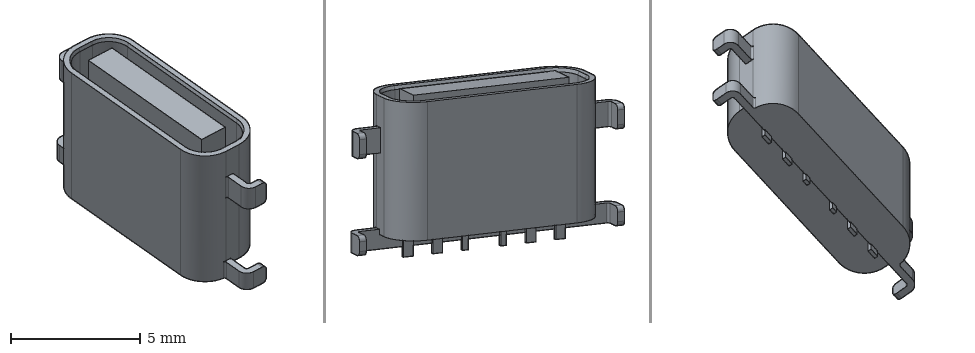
import cadquery as cq
import math

shell_width = 8.95
shell_depth = 3.16
shell_height = 6.1
shell_corner_radius = 1.25
wall = 0.3

mouth_flare = 0.06
mouth_flare_height = 0.15

cavity_depth = 4.45
tongue_width = 6.69
tongue_depth = 1.21
tongue_rise = 0.06

lug_span = 11.4
lug_thickness = 0.3
lug_bend_outer_radius = 0.4
lug_bend_inner_radius = lug_bend_outer_radius - lug_thickness
lug_root_radius = 0.09
lug_tip_radius = 0.2
lug_tip_y = 0.67
upper_lug_front_y = -0.27
upper_lug_height = 1.0
upper_lug_drop = 1.24
lower_lug_front_y = -0.39
lower_lug_height = 0.8

step_height = 0.59
step_front_y = lower_lug_front_y + lug_thickness

pins = [(3.27, 0.41), (2.01, 0.41), (0.82, 0.24)]
pin_length = 0.4
pin_thickness = 0.15
pin_y = -0.06


def block(x, y, width, depth, bottom, top):
    """Plain upright block centred on (x, y)."""
    return cq.Workplane("XY", origin=(x, y, bottom)).rect(width, depth).extrude(top - bottom)


def rounded_block(inset, bottom, top, taper=0):
    """Upright block whose base is the shell outline moved inwards by `inset`."""
    outline = (
        cq.Sketch()
        .rect(shell_width - 2 * inset, shell_depth - 2 * inset)
        .vertices()
        .fillet(shell_corner_radius - inset)
    )
    return cq.Workplane("XY", origin=(0, 0, bottom)).placeSketch(outline).extrude(top - bottom, taper=taper)


def make_shell():
    """Shell with its cavity, flared mouth and rear step."""
    flare_angle = math.degrees(math.atan(mouth_flare / mouth_flare_height))
    cavity = rounded_block(wall, shell_height - cavity_depth, shell_height)
    mouth = rounded_block(wall, shell_height - mouth_flare_height, shell_height, taper=-flare_angle)
    step_y = (step_front_y + shell_depth / 2) / 2
    step = block(0, step_y, shell_width, shell_depth / 2 - step_front_y, 0, step_height)
    return rounded_block(0, 0, shell_height).cut(cavity).cut(mouth).cut(step)


def make_tongue():
    """Contact tongue from the cavity floor to just above the rim."""
    floor = shell_height - cavity_depth
    return block(0, 0, tongue_width, tongue_depth, floor - wall, shell_height + tongue_rise)


def wall_x(y):
    """X of the outer face of the left shell wall at a given y."""
    past_flat = max(0, abs(y) - (shell_depth / 2 - shell_corner_radius))
    return -shell_width / 2 + shell_corner_radius - math.sqrt(shell_corner_radius**2 - past_flat**2)


def make_left_lug(front_y, bottom, height):
    """Arm flared into the shell wall at its front, then a bend and a rounded tip."""
    outer_x = -lug_span / 2
    inner_x = outer_x + lug_thickness
    back_y = front_y + lug_thickness
    root_y = front_y - lug_root_radius
    root_x = wall_x(root_y)
    embedded_x = -shell_width / 2 + wall
    root_mid = lug_root_radius * (1 - math.sqrt(0.5))
    strip = (
        cq.Workplane("XY", origin=(0, 0, bottom))
        .moveTo(embedded_x, root_y)
        .lineTo(root_x, root_y)
        .threePointArc((root_x - root_mid, front_y - root_mid), (root_x - lug_root_radius, front_y))
        .lineTo(outer_x + lug_bend_outer_radius, front_y)
        .radiusArc((outer_x, front_y + lug_bend_outer_radius), lug_bend_outer_radius)
        .lineTo(outer_x, lug_tip_y)
        .lineTo(inner_x, lug_tip_y)
        .lineTo(inner_x, back_y + lug_bend_inner_radius)
        .radiusArc((inner_x + lug_bend_inner_radius, back_y), -lug_bend_inner_radius)
        .lineTo(embedded_x, back_y)
        .close()
        .extrude(height)
    )
    return strip.faces(">Y").edges("|X").fillet(lug_tip_radius)


def make_pins():
    """Row of flat pins hanging below the shell, rooted inside it."""
    row = cq.Workplane("XY")
    for distance, width in pins:
        for x in (-distance, distance):
            row = row.union(block(x, pin_y, width, pin_thickness, -pin_length, step_height + wall))
    return row


upper_lug_bottom = shell_height - upper_lug_drop - upper_lug_height
left_lugs = make_left_lug(upper_lug_front_y, upper_lug_bottom, upper_lug_height).union(
    make_left_lug(lower_lug_front_y, 0, lower_lug_height)
)

result = (
    make_shell()
    .union(make_tongue())
    .union(left_lugs)
    .union(left_lugs.mirror("YZ"))
    .union(make_pins())
)